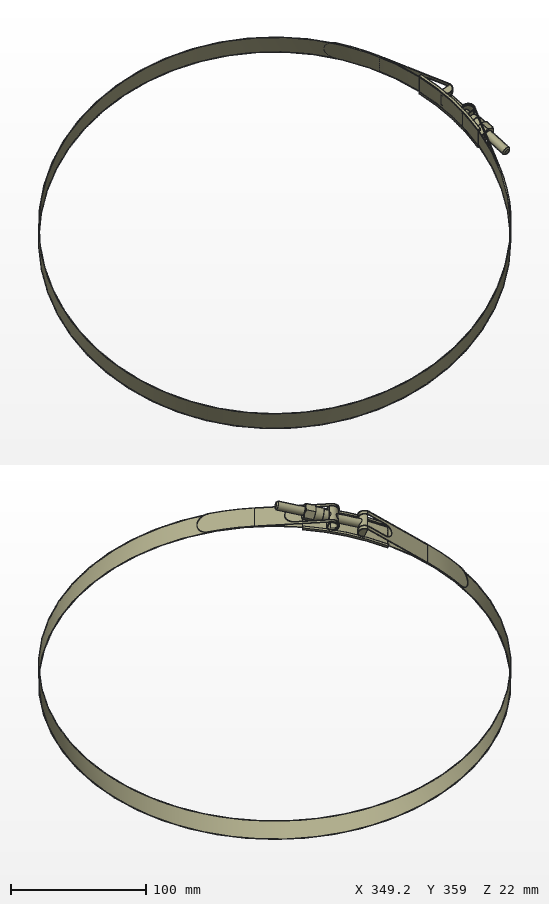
import cadquery as cq
import math


overall_depth = 359.0
ring_diameter = 349.2
band_thickness = 0.55
band_width = 18.0

trunnion_radius = 4.5
loop_offset = 12.5
head_flat = 0.9
shell_flat = 3.5
shell_wall = 0.7

overlap_reach = 105.0
bolt_slot_width = 11.5
bolt_slot_reach = 34.8
nut_slot_width = 13.5
nut_slot_reach = 46.5

bridge_half_length = 33.5
bridge_width = 22.0
bridge_floor_thickness = 0.43
bridge_lip_height = 1.0

bolt_radius = 3.4
bolt_end = 56.5
bolt_chamfer = 1.0
neck_end = 20.5
nut_start = 27.0
nut_end = 34.8
neck_radius = 4.5
collar_radius = 5.5

ring_radius = ring_diameter / 2
ring_inner_radius = ring_radius - band_thickness
overlap_radius = ring_radius + band_thickness
loop_radius = trunnion_radius + band_thickness
closure_height = overall_depth - ring_radius
axis_distance = ring_radius + trunnion_radius
axis_height = math.sqrt(axis_distance**2 - loop_offset**2)
nut_across_flats = 2 * (closure_height - axis_height)
nut_across_corners = nut_across_flats / math.cos(math.pi / 6)
nut_chamfer = (nut_across_corners - nut_across_flats) / 2
shell_end = loop_offset + shell_flat

axis_angle = math.asin(loop_offset / axis_distance)
strap_angle = axis_angle + math.acos((ring_radius - trunnion_radius) / axis_distance)
tip_angle = math.asin(overlap_reach / overlap_radius)
tip_centre_angle = tip_angle - band_width / 2 / overlap_radius


def on_circle(center, radius, angle):
    """Point at an angle measured from +Y towards +X."""
    return (center[0] + radius * math.sin(angle), center[1] + radius * math.cos(angle))


def plate(sketch, width):
    """Extrude an XY outline to a width centred on Z = 0."""
    return sketch.extrude(width / 2, both=True)


def arc_strip(center, inner, outer, start, end, width):
    """Strip between two concentric arcs, from one angle to another."""
    middle = (start + end) / 2
    sketch = (
        cq.Workplane("XY")
        .moveTo(*on_circle(center, inner, start))
        .threePointArc(on_circle(center, inner, middle), on_circle(center, inner, end))
        .lineTo(*on_circle(center, outer, end))
        .threePointArc(on_circle(center, outer, middle), on_circle(center, outer, start))
        .close()
    )
    return plate(sketch, width)


def x_cylinder(radius, start, end):
    """Cylinder on the bolt axis between two X positions."""
    return cq.Workplane("YZ", origin=(start, axis_height, 0)).circle(radius).extrude(end - start)


def make_loop(slot_width, slot_reach):
    """Slotted loop on the +X side, with the straight run down to the ring."""
    ring_center = (0, 0)
    axis = (loop_offset, axis_height)
    bend = arc_strip(
        axis, trunnion_radius, loop_radius, axis_angle + math.pi, strap_angle + 2 * math.pi, band_width
    )
    straight = plate(
        cq.Workplane("XY").polyline([
            on_circle(axis, trunnion_radius, strap_angle),
            on_circle(axis, loop_radius, strap_angle),
            on_circle(ring_center, overlap_radius, strap_angle),
            on_circle(ring_center, ring_radius, strap_angle),
        ]).close(),
        band_width,
    )
    slot = (
        cq.Workplane("XZ", origin=(slot_reach / 2, 0, 0))
        .slot2D(slot_reach, slot_width)
        .extrude(-closure_height)
    )
    inner_slot = cq.Workplane("XY").box(slot_reach, 2 * closure_height, slot_width)
    return bend.union(straight).cut(slot).cut(inner_slot)


def make_overlap():
    """Round-tipped band end lying on the outside of the ring, on the +X side."""
    ring_center = (0, 0)
    strip = arc_strip(
        ring_center, ring_radius, overlap_radius, strap_angle, tip_centre_angle, band_width
    )
    round_tip = (
        cq.Workplane("XZ")
        .circle(band_width / 2)
        .extrude(-closure_height)
        .rotate((0, 0, 0), (0, 0, 1), -math.degrees(tip_centre_angle))
    )
    layer = arc_strip(
        ring_center, ring_radius, overlap_radius, tip_centre_angle, tip_angle, band_width
    )
    return strip.union(layer.intersect(round_tip))


def make_band():
    """Open ring whose two ends form upright loops and fold back onto it."""
    band = arc_strip(
        (0, 0), ring_inner_radius, ring_radius, axis_angle, 2 * math.pi - axis_angle, band_width
    )
    nut_side = make_loop(nut_slot_width, nut_slot_reach).union(make_overlap())
    bolt_side = make_loop(bolt_slot_width, bolt_slot_reach).union(make_overlap()).mirror("YZ")
    return band.union(nut_side).union(bolt_side)


def make_bridge():
    """Curved channel under the gap in the band, with a lip along each edge of the band."""
    floor_radius = ring_inner_radius - bridge_floor_thickness
    lip_radius = ring_radius + bridge_lip_height
    end_angle = math.asin(bridge_half_length / lip_radius)
    body = arc_strip((0, 0), floor_radius, lip_radius, -end_angle, end_angle, bridge_width)
    channel = plate(cq.Workplane("XY").circle(lip_radius).circle(ring_inner_radius), band_width)
    return body.cut(channel)


def make_flatted_bar(side, radius, flat):
    """Bar along Z on a loop axis, with a flat facing away from the closure centre."""
    axis_x = side * loop_offset
    bar = plate(cq.Workplane("XY", origin=(axis_x, axis_height, 0)).circle(radius), band_width)
    beyond_flat = cq.Workplane("XY").box(2 * radius, 2 * radius, band_width)
    return bar.cut(beyond_flat.translate((axis_x + side * (flat + radius), axis_height, 0)))


def make_t_bolt():
    """Bolt whose T-shaped head is a flatted bar held in the -X loop."""
    head = make_flatted_bar(-1, trunnion_radius, head_flat)
    shank = x_cylinder(bolt_radius, -loop_offset, bolt_end).faces(">X").chamfer(bolt_chamfer)
    return head.union(shank)


def make_hollow_trunnion():
    """D-shaped tube in the +X loop, open at both ends, with the bolt passing through its wall."""
    outside = make_flatted_bar(1, trunnion_radius, shell_flat)
    inside = make_flatted_bar(1, trunnion_radius - shell_wall, shell_flat - shell_wall)
    return outside.cut(inside).cut(x_cylinder(bolt_radius, 0, bolt_end))


def make_spacer():
    """Collar with a narrower neck that bears on the flat of the hollow trunnion."""
    neck = x_cylinder(neck_radius, shell_end, neck_end)
    collar = x_cylinder(collar_radius, neck_end, nut_start)
    return neck.union(collar).cut(x_cylinder(bolt_radius, shell_end, nut_start))


def make_nut():
    """Hexagon nut with flats facing +Y and -Y and its outer corners chamfered."""
    hexagon = (
        cq.Workplane("YZ", origin=(nut_start, axis_height, 0))
        .polygon(6, nut_across_corners)
        .extrude(nut_end - nut_start)
        .rotate((0, axis_height, 0), (1, axis_height, 0), 30)
    )
    envelope = x_cylinder(nut_across_corners / 2, nut_start, nut_end).faces(">X").chamfer(nut_chamfer)
    return hexagon.intersect(envelope).cut(x_cylinder(bolt_radius, nut_start, nut_end))


band = make_band()
bridge = make_bridge()
t_bolt = make_t_bolt()
hollow_trunnion = make_hollow_trunnion()
spacer = make_spacer()
nut = make_nut()

bodies = [band, bridge, t_bolt, hollow_trunnion, spacer, nut]
result = cq.Compound.makeCompound([body.val().Solids()[0] for body in bodies])